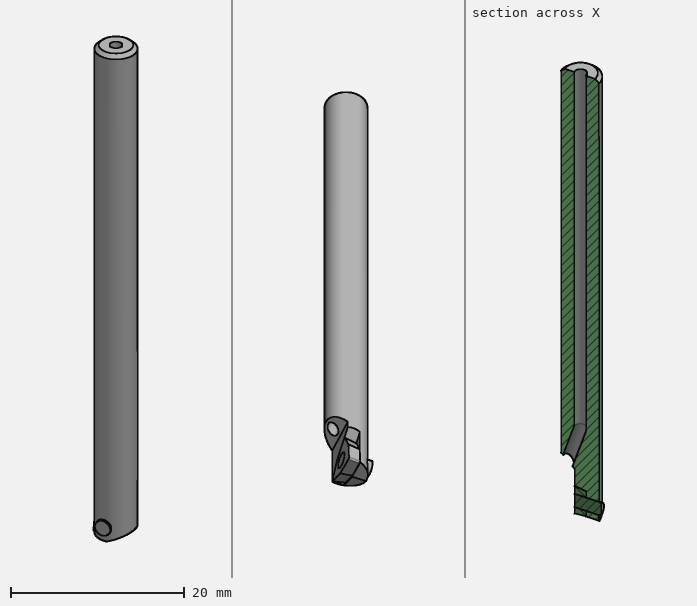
import cadquery as cq
import math


bar_diameter = 5.0
bar_radius = bar_diameter / 2
bar_top = 65.0
bar_bottom = 0.3
end_slope_rise = 1.05
top_chamfer_height = 0.49
top_chamfer_inset = 0.5

coolant_diameter = 1.5
elbow_z = 13.0

insert_thickness = 1.5
flat_y = insert_thickness / 2
flat_top = 6.75
slope_top = 8.5

insert_center = (-0.6, 2.15)
inscribed_radius = 1.98
corner_angle = 80.0
obtuse_angle = 160.0
nose_radius = 0.2
relief_angle = 7.0
tip_direction = 225.0

screw_center = (-0.4, 2.15)
screw_diameter = 1.95
screw_protrusion = 0.25
screw_front_y = -bar_radius - screw_protrusion

clear = bar_diameter

corner_distance = inscribed_radius / math.sin(math.radians(corner_angle / 2))
obtuse_distance = inscribed_radius / math.sin(math.radians(obtuse_angle / 2))


def insert_point(distance, direction):
    """Point in XZ at a distance and direction (degrees) from the insert center."""
    angle = math.radians(direction)
    return (insert_center[0] + distance * math.cos(angle), insert_center[1] + distance * math.sin(angle))


def tapered_prism(points):
    """Prism from the flat toward -Y, narrowing by the relief angle."""
    plane = cq.Workplane("XZ", origin=(0, flat_y, 0))
    return plane.polyline(points).close().extrude(insert_thickness, taper=relief_angle)


def beyond(start, end):
    """Point on the line from start through end, as far again past end."""
    return (2 * end[0] - start[0], 2 * end[1] - start[1])


def make_screw():
    plane = cq.Workplane("XZ", origin=(0, flat_y, 0))
    return plane.center(*screw_center).circle(screw_diameter / 2).extrude(flat_y - screw_front_y)


def make_insert(screw):
    points = []
    for turn in (0, 120, 240):
        points.append(insert_point(corner_distance, tip_direction + turn))
        points.append(insert_point(obtuse_distance, tip_direction + turn + 60))
    body = tapered_prism(points)
    middle_distance = (corner_distance + obtuse_distance) / 2

    def is_corner(edge):
        offset_x = edge.Center().x - insert_center[0]
        offset_z = edge.Center().z - insert_center[1]
        return math.hypot(offset_x, offset_z) > middle_distance

    noses = body.edges("not #Y").filter(is_corner)
    return noses.fillet(nose_radius).cut(screw)


def make_shank():
    """Round bar with a chamfered top."""
    half_section = [
        (0, bar_bottom),
        (bar_radius, bar_bottom),
        (bar_radius, bar_top - top_chamfer_height),
        (bar_radius - top_chamfer_inset, bar_top),
        (0, bar_top),
    ]
    return cq.Workplane("XZ").polyline(half_section).close().revolve(360, (0, 0), (0, 1))


def make_coolant_cutter():
    """Axial bore, a ball at the elbow, and a tilted bore through the middle of the slope."""
    radius = coolant_diameter / 2
    elbow = cq.Vector(0, 0, elbow_z)
    slope_middle = cq.Vector(0, (flat_y + bar_radius) / 2, (flat_top + slope_top) / 2)
    exit_path = slope_middle - elbow
    exit_length = exit_path.Length + coolant_diameter
    axial_bore = cq.Workplane("XY", origin=elbow).circle(radius).extrude(bar_top - elbow_z)
    ball = cq.Workplane("XY", origin=elbow).sphere(radius)
    exit_bore = cq.Workplane(cq.Solid.makeCylinder(radius, exit_length, elbow, exit_path))
    return axial_bore.union(ball).union(exit_bore)


def make_flat_cutter():
    """Removes the +Y side at the lower end, down to the flat."""
    slope_run = bar_radius - flat_y
    slope_rise = slope_top - flat_top
    points = [
        (flat_y, -clear),
        (flat_y, flat_top),
        (flat_y + 2 * slope_run, flat_top + 2 * slope_rise),
        (flat_y + 2 * slope_run, -clear),
    ]
    return cq.Workplane("YZ").polyline(points).close().extrude(clear, both=True)


def make_end_slope_cutter():
    """Bevels the +X half of the lower end."""
    points = [
        (0, bar_bottom),
        (2 * bar_radius, bar_bottom + 2 * end_slope_rise),
        (2 * bar_radius, bar_bottom),
    ]
    return cq.Workplane("XZ").polyline(points).close().extrude(clear, both=True)


def make_pocket_cutter():
    """Insert seat: two walls meet at the insert's rear obtuse corner and run out of the bar."""
    rear = insert_point(obtuse_distance, tip_direction + 180)
    upper = beyond(rear, insert_point(corner_distance, tip_direction - 120))
    lower = beyond(rear, insert_point(corner_distance, tip_direction + 120))
    points = [
        rear,
        upper,
        (-2 * clear, upper[1]),
        (-2 * clear, -clear),
        (lower[0], -clear),
        lower,
    ]
    return tapered_prism(points)


def make_bar(screw):
    bar = make_shank().cut(make_flat_cutter()).cut(make_end_slope_cutter())
    return bar.cut(make_coolant_cutter()).cut(make_pocket_cutter()).cut(screw)


screw = make_screw()
insert = make_insert(screw)
bar = make_bar(screw)

result = cq.Compound.makeCompound([*bar.solids().vals(), *insert.solids().vals(), screw.val()])